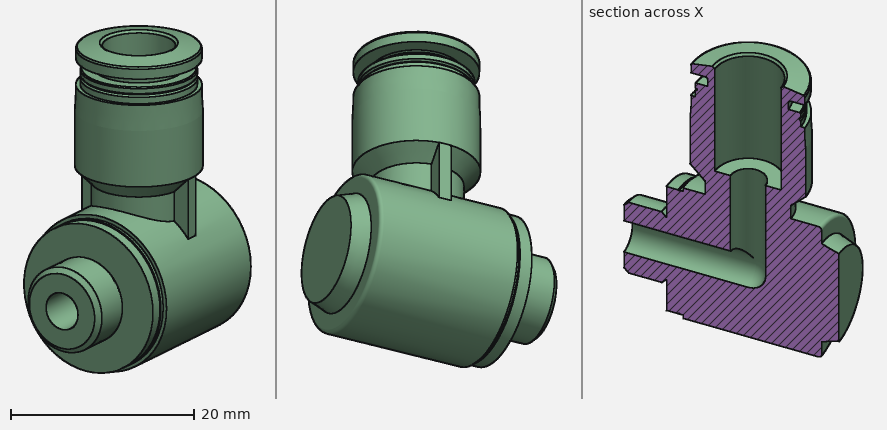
import cadquery as cq


body_radius = 17.9 / 2
body_front_y = -7.85
body_back_y = 8.9
body_fillet = 0.43
tail_back_y = 11.0
tail_base_radius = 6.75
tail_end_radius = 6.02

flange_radius = 17.0 / 2
flange_front_y = -9.85
flange_groove_radius = 16.9 / 2
flange_groove_y = -8.35
flange_groove_width = 0.1
spigot_radius = 9.75 / 2
spigot_chamfer = 0.57
spigot_front_y = -14.97

top_z = 35.65 - body_radius
neck_radius = 5.2
sleeve_radius = 14.0 / 2
sleeve_bottom_z = 12.48
sleeve_cone_height = sleeve_radius - neck_radius
taper_bottom_z = 18.95
sleeve_top_z = 21.9
taper_top_radius = 13.8 / 2

collar_radius = 12.8 / 2
collar_top_z = 23.78
collar_chamfer = 0.15
collar_groove_top_z = 23.05
collar_groove_bottom_z = 22.65
collar_groove_depth = 0.2

button_neck_radius = 9.8 / 2
button_radius = 13.8 / 2
button_bottom_z = 24.92
button_neck_chamfer = 0.18
button_shoulder_z = 26.27
button_rim_height = 0.2
button_rim_inset = 0.15
mouth_chamfer = 0.3

bore_radius = 4.2 / 2
tube_radius = 8.0 / 2
tube_floor_z = sleeve_bottom_z

rib_thickness = 1.5


def revolve_about_y(points):
    """Revolve a (radius, y) outline about the Y axis."""
    return cq.Workplane("XY").polyline(points).close().revolve(360, (0, 0), (0, 1))


def revolve_about_z(points):
    """Revolve a (radius, z) outline about the Z axis."""
    return cq.Workplane("XZ").polyline(points).close().revolve(360, (0, 0), (0, 1))


def make_body():
    groove_front_y = flange_groove_y - flange_groove_width / 2
    groove_back_y = flange_groove_y + flange_groove_width / 2
    body = revolve_about_y([
        (0, tail_back_y),
        (tail_end_radius, tail_back_y),
        (tail_base_radius, body_back_y),
        (body_radius, body_back_y),
        (body_radius, body_front_y),
        (flange_radius, body_front_y),
        (flange_radius, groove_back_y),
        (flange_groove_radius, groove_back_y),
        (flange_groove_radius, groove_front_y),
        (flange_radius, groove_front_y),
        (flange_radius, flange_front_y),
        (spigot_radius - spigot_chamfer, flange_front_y),
        (spigot_radius, flange_front_y - spigot_chamfer),
        (spigot_radius, spigot_front_y + spigot_chamfer),
        (spigot_radius - spigot_chamfer, spigot_front_y),
        (0, spigot_front_y),
    ])
    back_rim = cq.selectors.BoxSelector(
        (-2 * body_radius, body_back_y - body_fillet / 2, -2 * body_radius),
        (2 * body_radius, body_back_y + body_fillet / 2, 2 * body_radius),
    )
    return body.edges(back_rim).edges(cq.selectors.RadiusNthSelector(-1)).fillet(body_fillet)


def make_stem():
    collar_edge_radius = collar_radius - collar_chamfer
    groove_middle_z = (collar_groove_top_z + collar_groove_bottom_z) / 2
    return revolve_about_z([
        (0, 0),
        (neck_radius, 0),
        (neck_radius, sleeve_bottom_z - sleeve_cone_height),
        (sleeve_radius, sleeve_bottom_z),
        (sleeve_radius, taper_bottom_z),
        (taper_top_radius, sleeve_top_z),
        (collar_radius, sleeve_top_z),
        (collar_radius, collar_groove_bottom_z),
        (collar_radius - collar_groove_depth, groove_middle_z),
        (collar_radius, collar_groove_top_z),
        (collar_radius, collar_top_z - collar_chamfer),
        (collar_edge_radius, collar_top_z),
        (button_neck_radius, collar_top_z),
        (button_neck_radius, button_bottom_z - button_neck_chamfer),
        (button_neck_radius + button_neck_chamfer, button_bottom_z),
        (button_radius, button_bottom_z),
        (button_radius, button_shoulder_z - button_rim_height),
        (button_radius - button_rim_inset, button_shoulder_z),
        (tube_radius + mouth_chamfer, top_z),
        (0, top_z),
    ])


def make_ribs():
    """Web across the neck; only its two ends stand out beside the stem."""
    return cq.Workplane("XY").box(
        2 * sleeve_radius, rib_thickness, sleeve_bottom_z, centered=(True, True, False)
    )


def make_passages():
    """Stepped tube socket joined to the front bore by a round-bottomed elbow."""
    socket = revolve_about_z([
        (0, 0),
        (bore_radius, 0),
        (bore_radius, tube_floor_z),
        (tube_radius, tube_floor_z),
        (tube_radius, top_z - mouth_chamfer),
        (tube_radius + mouth_chamfer, top_z),
        (0, top_z),
    ])
    front_bore = cq.Workplane("XZ").circle(bore_radius).extrude(-spigot_front_y)
    elbow = cq.Workplane("XY").sphere(bore_radius)
    return socket.union(front_bore).union(elbow)


result = make_body().union(make_stem()).union(make_ribs()).cut(make_passages())